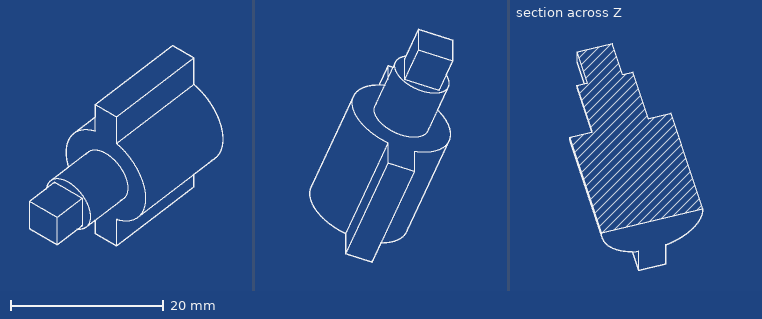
import cadquery as cq

total_length = 28.0
body_diameter = 13.9
body_length = 15.48
shaft_diameter = 7.7
shaft_length = 7.5
square_side = 4.85
fin_width = 3.72
fin_span = 22.7

square_length = total_length - body_length - shaft_length


def section_at(y):
    """Workplane across the axis at y, facing the square tip."""
    return cq.Workplane("XZ", origin=(0, y, 0))


body = section_at(body_length).circle(body_diameter / 2).extrude(body_length)

fins = section_at(body_length).rect(fin_width, fin_span).extrude(body_length)

shaft = section_at(0).circle(shaft_diameter / 2).extrude(shaft_length)

square_tip = section_at(-shaft_length).rect(square_side, square_side).extrude(square_length)

result = body.union(fins).union(shaft).union(square_tip)